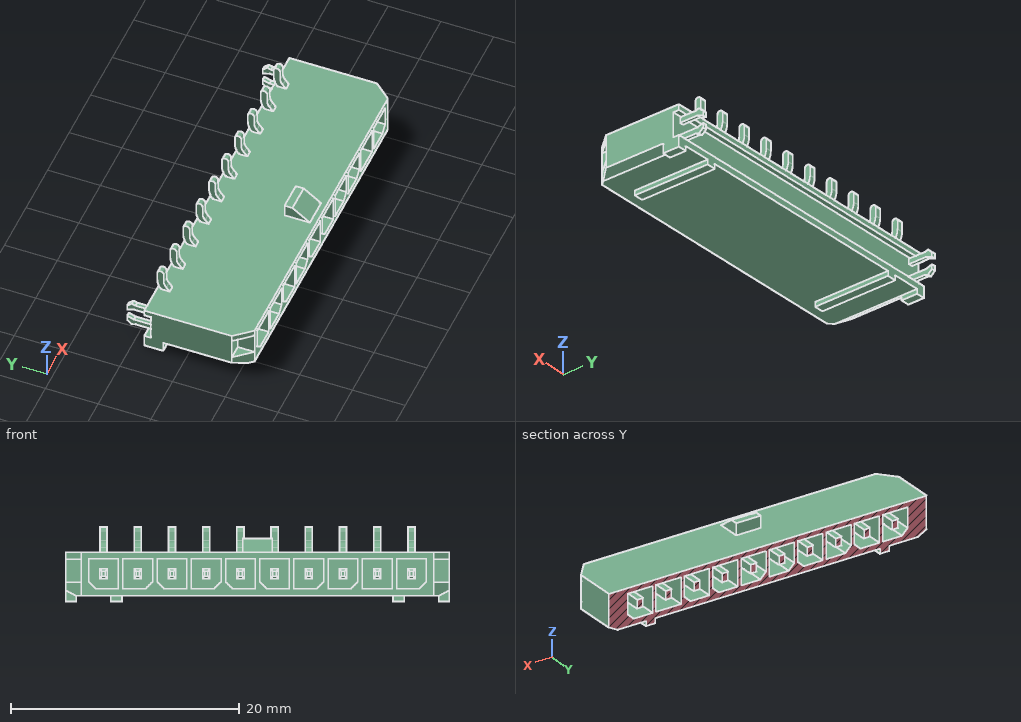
import cadquery as cq
import math


BODY_LENGTH = 33.66
BODY_DEPTH = 9.9
BODY_HEIGHT = 3.85
HALF_LENGTH = BODY_LENGTH / 2
STANDOFF = 0.5

CORNER_X = 1.37
CORNER_Y = 1.6
NOTCH_BOTTOM = 1.2
NOTCH_TOP = 3.22

SIDE_BEVEL_X = 0.95
SIDE_BEVEL_Z = 0.5
FOOT_DEPTH = 1.8

RAIL_WIDTH = 1.0
RAIL_INSET = 3.95

CHANNEL_DEPTH = 0.62
CHANNEL_BOTTOM = 0.7
CHANNEL_TOP = 3.25
CHANNEL_MIDDLE = (CHANNEL_BOTTOM + CHANNEL_TOP) / 2

LATCH_WIDTH = 2.6
LATCH_HEIGHT = 1.2
LATCH_FRONT = 0.55
LATCH_CREST = 2.2
LATCH_REAR = 2.95

PITCH = 3.0
CAVITY_KEYS = ["left", "right", "left", "right", "left", "left", "right", "right", "none", "right"]
CAVITY_SIZE = 2.6
CAVITY_BEVEL = 0.6
CAVITY_DEPTH = 8.0
CAVITY_MIDDLE = 1.95

CONTACT_WIDTH = 0.64
PIN_HEIGHT = 0.9
PIN_FRONT = 3.0
TIP_LENGTH = 0.6
TIP_SCALE = 0.45
LEAD_HEIGHT = 2.2
LEAD_THICKNESS = 0.62
LEAD_BEND_HEIGHT = 1.02
LEAD_BEND_RADIUS = 0.95
LEAD_BEND_ANGLE = 40
LEAD_TAIL = 1.2

CLIP_WIDTH = 0.42
CLIP_INSET = 1.12
CLIP_LENGTH = 2.0
PRONG_INNER = 0.61
PRONG_OUTER = 1.17
NOSE_INNER = 0.38
NOSE_OUTER = 0.87
BARB_OUTER = 1.29
BARB_SETBACK = 0.45
BARB_END_SETBACK = 0.8
INNER_SLOPE_LENGTH = 0.65

OVERLAP = 0.4


def block(x_range, y_range, z_range):
    """Box given by its lower and upper limits along each axis."""
    lows, highs = zip(x_range, y_range, z_range)
    sizes = [high - low for low, high in zip(lows, highs)]
    return cq.Workplane("XY").box(*sizes, centered=False).translate(lows)


def side_prism(points, x_middle, width):
    """Prism along X, centred on x_middle, from an outline in Y and Z."""
    prism = cq.Workplane("YZ").polyline(points).close().extrude(width / 2, both=True)
    return prism.translate((x_middle, 0, 0))


def both_ends(piece):
    """The piece together with its mirror image at the other end of the body."""
    return piece.union(piece.mirror("YZ"))


def make_housing():
    outline = [
        (-HALF_LENGTH, BODY_DEPTH),
        (-HALF_LENGTH, CORNER_Y),
        (-HALF_LENGTH + CORNER_X, 0),
        (HALF_LENGTH - CORNER_X, 0),
        (HALF_LENGTH, CORNER_Y),
        (HALF_LENGTH, BODY_DEPTH),
    ]
    return cq.Workplane("XY").polyline(outline).close().extrude(BODY_HEIGHT)


def make_corner_notches():
    notch = block(
        (-HALF_LENGTH, -HALF_LENGTH + CORNER_X),
        (0, CORNER_Y),
        (NOTCH_BOTTOM, NOTCH_TOP),
    )
    return both_ends(notch)


def make_side_bevels():
    triangle = [
        (-HALF_LENGTH, 0),
        (-HALF_LENGTH + SIDE_BEVEL_X, 0),
        (-HALF_LENGTH, SIDE_BEVEL_Z),
    ]
    bevel_length = BODY_DEPTH - FOOT_DEPTH
    bevel = cq.Workplane("XZ").polyline(triangle).close().extrude(-bevel_length)
    return both_ends(bevel)


def make_rear_channel():
    return block(
        (-HALF_LENGTH, HALF_LENGTH),
        (BODY_DEPTH - CHANNEL_DEPTH, BODY_DEPTH),
        (CHANNEL_BOTTOM, CHANNEL_TOP),
    )


def make_feet_and_rails():
    foot = block(
        (-HALF_LENGTH, -HALF_LENGTH + SIDE_BEVEL_X),
        (BODY_DEPTH - FOOT_DEPTH, BODY_DEPTH),
        (-STANDOFF, OVERLAP),
    )
    rail_outer_x = -HALF_LENGTH + RAIL_INSET
    rail = block(
        (rail_outer_x, rail_outer_x + RAIL_WIDTH),
        (CORNER_Y, BODY_DEPTH),
        (-STANDOFF, OVERLAP),
    )
    return both_ends(foot).union(both_ends(rail))


def make_latch():
    crest_z = BODY_HEIGHT + LATCH_HEIGHT
    base_z = BODY_HEIGHT - OVERLAP
    profile = [
        (LATCH_FRONT, base_z),
        (LATCH_FRONT, BODY_HEIGHT),
        (LATCH_CREST, crest_z),
        (LATCH_REAR, crest_z),
        (LATCH_REAR, base_z),
    ]
    return side_prism(profile, 0, LATCH_WIDTH)


def make_cavity(x, key):
    half = CAVITY_SIZE / 2
    cavity = block(
        (x - half, x + half),
        (0, CAVITY_DEPTH),
        (CAVITY_MIDDLE - half, CAVITY_MIDDLE + half),
    )
    if key == "left":
        return cavity.edges("|Y and <X and <Z").chamfer(CAVITY_BEVEL)
    if key == "right":
        return cavity.edges("|Y and >X and <Z").chamfer(CAVITY_BEVEL)
    return cavity


def make_pin(x):
    shank_start = PIN_FRONT + TIP_LENGTH
    shank = block(
        (x - CONTACT_WIDTH / 2, x + CONTACT_WIDTH / 2),
        (shank_start, CAVITY_DEPTH + OVERLAP),
        (CAVITY_MIDDLE - PIN_HEIGHT / 2, CAVITY_MIDDLE + PIN_HEIGHT / 2),
    )
    tip = (
        cq.Workplane("XZ", origin=(x, shank_start, CAVITY_MIDDLE))
        .rect(CONTACT_WIDTH, PIN_HEIGHT)
        .workplane(offset=TIP_LENGTH)
        .rect(CONTACT_WIDTH * TIP_SCALE, PIN_HEIGHT * TIP_SCALE)
        .loft(ruled=True)
    )
    return shank.union(tip)


def make_lead(x):
    front_y = BODY_DEPTH - LEAD_THICKNESS
    tip_z = BODY_HEIGHT + LEAD_HEIGHT
    tip_radius = LEAD_THICKNESS / 2
    bend_z = BODY_HEIGHT + LEAD_BEND_HEIGHT
    centre_y = front_y - LEAD_BEND_RADIUS
    outer_radius = LEAD_BEND_RADIUS + LEAD_THICKNESS
    full_bend = math.radians(LEAD_BEND_ANGLE)

    def on_bend(radius, angle):
        return (centre_y + radius * math.cos(angle), bend_z - radius * math.sin(angle))

    def tail_end(radius):
        y, z = on_bend(radius, full_bend)
        return (y - LEAD_TAIL * math.sin(full_bend), z - LEAD_TAIL * math.cos(full_bend))

    lead = (
        cq.Workplane("YZ")
        .moveTo(*on_bend(LEAD_BEND_RADIUS, 0))
        .lineTo(front_y, tip_z - tip_radius)
        .threePointArc((front_y + tip_radius, tip_z), (BODY_DEPTH, tip_z - tip_radius))
        .lineTo(*on_bend(outer_radius, 0))
        .threePointArc(on_bend(outer_radius, full_bend / 2), on_bend(outer_radius, full_bend))
        .lineTo(*tail_end(outer_radius))
        .lineTo(*tail_end(LEAD_BEND_RADIUS))
        .lineTo(*on_bend(LEAD_BEND_RADIUS, full_bend))
        .threePointArc(on_bend(LEAD_BEND_RADIUS, full_bend / 2), on_bend(LEAD_BEND_RADIUS, 0))
        .close()
        .extrude(CONTACT_WIDTH / 2, both=True)
    )
    return lead.translate((x, 0, 0))


def make_clip_prong(side):
    """One prong of a clip; side is +1 for the upper prong and -1 for the lower one."""
    root_y = BODY_DEPTH - CHANNEL_DEPTH - OVERLAP
    nose_y = BODY_DEPTH + CLIP_LENGTH
    profile = [
        (root_y, PRONG_INNER),
        (nose_y - INNER_SLOPE_LENGTH, PRONG_INNER),
        (nose_y, NOSE_INNER),
        (nose_y, NOSE_OUTER),
        (nose_y - BARB_SETBACK, BARB_OUTER),
        (nose_y - BARB_END_SETBACK, PRONG_OUTER),
        (root_y, PRONG_OUTER),
    ]
    points = [(y, CHANNEL_MIDDLE + side * offset) for y, offset in profile]
    return both_ends(side_prism(points, -HALF_LENGTH + CLIP_INSET, CLIP_WIDTH))


def build_header():
    body = make_housing()
    body = body.cut(make_corner_notches())
    body = body.cut(make_side_bevels())
    body = body.cut(make_rear_channel())
    body = body.union(make_feet_and_rails())
    body = body.union(make_latch())
    first_x = -PITCH * (len(CAVITY_KEYS) - 1) / 2
    for index, key in enumerate(CAVITY_KEYS):
        x = first_x + index * PITCH
        body = body.cut(make_cavity(x, key))
        body = body.union(make_pin(x))
        body = body.union(make_lead(x))
    for side in (1, -1):
        body = body.union(make_clip_prong(side))
    return body


result = build_header()